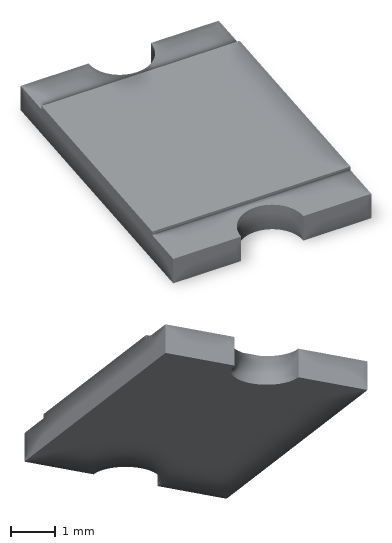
import cadquery as cq

LENGTH = 7.3
WIDTH = 5.1
BODY_HEIGHT = 0.8

TERMINAL_LENGTH = 1.0
TERMINAL_HEIGHT = 0.7
NOTCH_RADIUS = 0.8

BAND_LENGTH = 0.5

END_X = LENGTH / 2
TERMINAL_INNER_X = END_X - TERMINAL_LENGTH
BAND_INNER_X = -TERMINAL_INNER_X + BAND_LENGTH


def block(start_x, end_x, height):
    """Full-width block between two X positions, standing on Z = 0."""
    length = end_x - start_x
    return (
        cq.Workplane("XY")
        .center((start_x + end_x) / 2, 0)
        .box(length, WIDTH, height, centered=(True, True, False))
    )


def make_terminal(side):
    """End terminal with a half-round notch in its outer face; side is -1 for -X, +1 for +X."""
    start_x, end_x = sorted((side * TERMINAL_INNER_X, side * END_X))
    notch = cq.Workplane("XY").center(side * END_X, 0).circle(NOTCH_RADIUS).extrude(TERMINAL_HEIGHT)
    return block(start_x, end_x, TERMINAL_HEIGHT).cut(notch)


def make_band():
    """Marking band between the -X terminal and the body."""
    return block(-TERMINAL_INNER_X, BAND_INNER_X, BODY_HEIGHT)


def make_body():
    """Main body between the marking band and the +X terminal."""
    return block(BAND_INNER_X, TERMINAL_INNER_X, BODY_HEIGHT)


terminals = [make_terminal(side) for side in (-1, 1)]
band = make_band()
body = make_body()

result = cq.Compound.makeCompound([body.val(), band.val(), *[terminal.val() for terminal in terminals]])